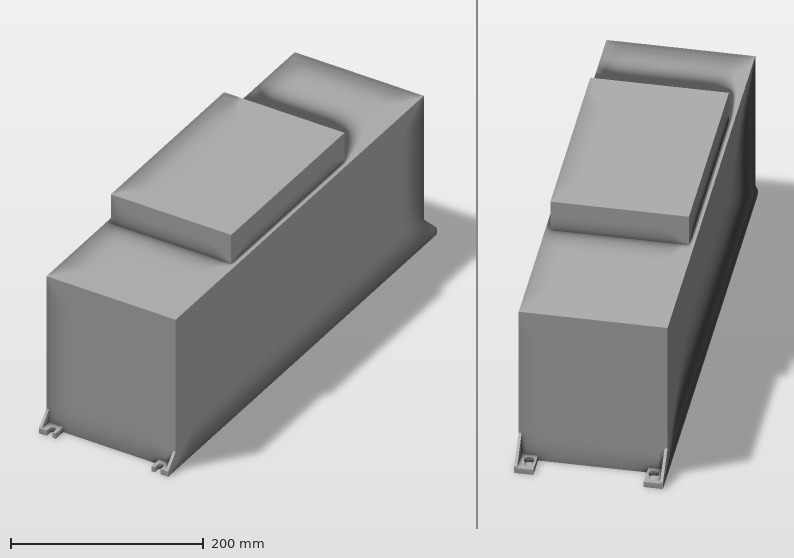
import cadquery as cq

width = 157.0
length = 534.0
height = 187.0
half_width = width / 2
rear_tip = length / 2
front_tip = -length / 2

rear_overhang = 26.0
front_overhang = 15.0
rear_face = rear_tip - rear_overhang
front_face = front_tip + front_overhang
cover_depth = 20.0
skirt_thickness = 3.0
shoulder_z = 67.5
rear_skirt_z = 33.0
front_skirt_z = 22.5

side_thickness = 3.0
lid_thickness = 20.0
lid_bottom = height - lid_thickness
rear_tip_height = 8.0
front_tip_height = 6.5
foot_width = 20.5
foot_thickness = 6.5
fixing_inset = 13.0
slot_width = 7.0
slot_depth = 9.5
keyhole_diameter = 11.0
keyhole_inset = 16.5
keyhole_slot_inset = 5.5

raised_width = 146.5
raised_height = 36.5
raised_front = -133.0
raised_rear = 92.0


def block(size_x, y_start, y_end, z_start, z_end):
    """Box centred on X between the given Y and Z limits."""
    return cq.Workplane("XY").box(
        size_x, y_end - y_start, z_end - z_start, centered=(True, False, False)
    ).translate((0, y_start, z_start))


def extrude_across(points, x_start, thickness):
    """Extrude a Y-Z outline along +X."""
    return cq.Workplane("YZ", origin=(x_start, 0, 0)).polyline(points).close().extrude(thickness)


def make_core():
    """Chassis centre, notched at both ends so that the covers finish flush with it."""
    outline = [
        (front_face, 0),
        (rear_face, 0),
        (rear_face, rear_skirt_z),
        (rear_face - skirt_thickness, rear_skirt_z),
        (rear_face - skirt_thickness, shoulder_z),
        (rear_face - cover_depth, shoulder_z),
        (rear_face - cover_depth, lid_bottom),
        (front_face + cover_depth, lid_bottom),
        (front_face + cover_depth, shoulder_z),
        (front_face + skirt_thickness, shoulder_z),
        (front_face + skirt_thickness, front_skirt_z),
        (front_face, front_skirt_z),
    ]
    return extrude_across(outline, -half_width, width)


def make_side_plate(x_start):
    """Lower side plate whose ends slope out to the tips of the feet."""
    outline = [
        (front_tip, 0),
        (rear_tip, 0),
        (rear_tip, rear_tip_height),
        (rear_face, rear_skirt_z),
        (front_face, front_skirt_z),
        (front_tip, front_tip_height),
    ]
    return extrude_across(outline, x_start, side_thickness)


def make_feet():
    """Four flat mounting feet, one at each corner."""
    foot_x = half_width - foot_width / 2
    feet = block(foot_width, front_tip, front_face, 0, foot_thickness)
    feet = feet.union(block(foot_width, rear_face, rear_tip, 0, foot_thickness))
    return feet.translate((-foot_x, 0, 0)).union(feet.translate((foot_x, 0, 0)))


def make_fixing_cutter(x):
    """Open slot at the front and keyhole at the rear of one side."""
    radius = slot_width / 2
    slot_centre = front_tip + slot_depth - radius
    keyhole_centre = rear_tip - keyhole_inset
    keyhole_slot_centre = rear_tip - keyhole_slot_inset - radius
    cutter = block(slot_width, front_tip, slot_centre, 0, foot_thickness)
    cutter = cutter.union(block(slot_width, keyhole_centre, keyhole_slot_centre, 0, foot_thickness))
    round_ends = [
        (slot_centre, slot_width),
        (keyhole_slot_centre, slot_width),
        (keyhole_centre, keyhole_diameter),
    ]
    for y, diameter in round_ends:
        cutter = cutter.union(cq.Workplane("XY").center(0, y).circle(diameter / 2).extrude(foot_thickness))
    return cutter.translate((x, 0, 0))


def make_chassis():
    """Core with sloping side plates and drilled mounting feet."""
    chassis = make_core().union(make_feet())
    for x_start in (-half_width, half_width - side_thickness):
        chassis = chassis.union(make_side_plate(x_start))
    for side in (-1, 1):
        chassis = chassis.cut(make_fixing_cutter(side * (half_width - fixing_inset)))
    return chassis


def make_end_cover(outer_y, inward, skirt_z):
    """End cover; inward is the Y direction from its outer face into the part."""
    shoulder_y = outer_y + inward * cover_depth
    skirt_y = outer_y + inward * skirt_thickness
    outline = [
        (outer_y, skirt_z),
        (outer_y, height),
        (shoulder_y, height),
        (shoulder_y, shoulder_z),
        (skirt_y, shoulder_z),
        (skirt_y, skirt_z),
    ]
    return extrude_across(outline, -half_width, width)


def make_lid():
    """Flat lid between the two end covers."""
    return block(width, front_face + cover_depth, rear_face - cover_depth, lid_bottom, height)


def make_raised_box():
    """Raised box standing on the lid."""
    return block(raised_width, raised_front, raised_rear, height, height + raised_height)


chassis = make_chassis()
lid = make_lid()
raised_box = make_raised_box()
end_covers = [
    make_end_cover(outer_y, inward, skirt_z).val()
    for outer_y, inward, skirt_z in ((front_face, 1, front_skirt_z), (rear_face, -1, rear_skirt_z))
]

result = cq.Compound.makeCompound([chassis.val(), lid.val(), raised_box.val(), *end_covers])